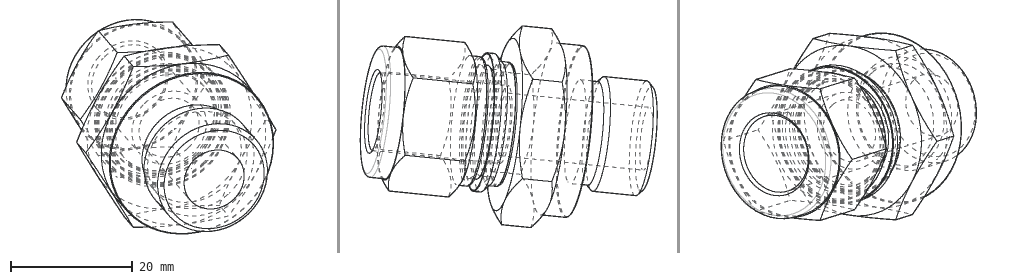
import cadquery as cq
import math

total_length = 46.0

nose_diameter = 21.8
nose_fillet = 0.6
nut_hex_start = 3.0
nut_hex_end = 15.25
nut_across_flats = 22.22
nut_collar_diameter = 21.5
nut_collar_chamfer_length = 0.3
nut_collar_chamfer_depth = 0.15
nut_end = 17.1

neck_diameter = 18.9
neck_end = 18.3
neck_groove_diameter = 17.7
ring_start = 18.0
ring_diameter = 23.0
ring_rim_end = 19.2
ring_lip_diameter = 22.6
ring_small_diameter = 20.6
ring_end = 21.8
shoulder_diameter = 20.2

stud_length = 12.0
body_end = total_length - stud_length
body_hex_start = 22.1
body_hex_end = 29.6
body_across_flats = 28.57
body_collar_diameter = 28.5
body_collar_chamfer = 0.15

relief_diameter = 17.2
relief_length = 3.0
thread_diameter = 19.05
thread_end_chamfer = 0.85

tube_bore_diameter = 12.9
tube_bore_depth = 22.0
tube_bore_chamfer = 0.5
through_bore_diameter = 10.41

hex_chamfer_angle = math.radians(30)


def cylinder(start, end, diameter):
    """Round bar along X from start to end."""
    return cq.Workplane("YZ", origin=(start, 0, 0)).circle(diameter / 2).extrude(end - start)


def revolve_profile(points):
    """Solid of revolution about X from (x, radius) points that begin and end on the axis."""
    return cq.Workplane("XY").polyline(points).close().revolve(360, (0, 0, 0), (1, 0, 0))


def chamfered_hexagon(start, end, across_flats, start_diameter, end_diameter):
    """Hexagonal prism with corners along Y, its corners cut back by a cone at each end."""
    corner_radius = across_flats / math.sqrt(3)
    prism = (
        cq.Workplane("YZ", origin=(start, 0, 0))
        .polygon(6, 2 * corner_radius)
        .extrude(end - start)
    )
    start_radius = start_diameter / 2
    end_radius = end_diameter / 2
    start_cone_length = (corner_radius - start_radius) * math.tan(hex_chamfer_angle)
    end_cone_length = (corner_radius - end_radius) * math.tan(hex_chamfer_angle)
    envelope = revolve_profile([
        (start, 0),
        (start, start_radius),
        (start + start_cone_length, corner_radius),
        (end - end_cone_length, corner_radius),
        (end, end_radius),
        (end, 0),
    ])
    return prism.intersect(envelope)


def union_nut():
    nose = cylinder(0, nut_hex_start, nose_diameter).faces("<X").edges().fillet(nose_fillet)
    hexagon = chamfered_hexagon(
        nut_hex_start, nut_hex_end, nut_across_flats, nut_across_flats, nut_collar_diameter
    )
    collar_radius = nut_collar_diameter / 2
    collar = revolve_profile([
        (nut_hex_end, 0),
        (nut_hex_end, collar_radius),
        (nut_end - nut_collar_chamfer_length, collar_radius),
        (nut_end, collar_radius - nut_collar_chamfer_depth),
        (nut_end, 0),
    ])
    return nose.union(hexagon).union(collar)


def neck_and_ring():
    neck_radius = neck_diameter / 2
    groove_radius = neck_groove_diameter / 2
    ring_radius = ring_diameter / 2
    ring_lip_radius = ring_lip_diameter / 2
    ring_small_radius = ring_small_diameter / 2
    groove_start = neck_end + neck_radius - groove_radius
    recess_bottom = ring_start + ring_lip_radius - groove_radius
    ring_cone_end = ring_rim_end + ring_radius - ring_small_radius
    shoulder_radius = shoulder_diameter / 2
    return revolve_profile([
        (nut_end, 0),
        (nut_end, neck_radius),
        (neck_end, neck_radius),
        (groove_start, groove_radius),
        (recess_bottom, groove_radius),
        (ring_start, ring_lip_radius),
        (ring_start, ring_radius),
        (ring_rim_end, ring_radius),
        (ring_cone_end, ring_small_radius),
        (ring_end, ring_small_radius),
        (ring_end, shoulder_radius),
        (body_hex_start, shoulder_radius),
        (body_hex_start, 0),
    ])


def body():
    hexagon = chamfered_hexagon(
        body_hex_start, body_hex_end, body_across_flats, body_across_flats, body_collar_diameter
    )
    collar = cylinder(body_hex_end, body_end, body_collar_diameter)
    collar = collar.faces(">X").edges().chamfer(body_collar_chamfer)
    return hexagon.union(collar)


def threaded_stud():
    relief_radius = relief_diameter / 2
    thread_radius = thread_diameter / 2
    relief_end = body_end + relief_length
    thread_start = relief_end + thread_radius - relief_radius
    return revolve_profile([
        (body_end, 0),
        (body_end, relief_radius),
        (relief_end, relief_radius),
        (thread_start, thread_radius),
        (total_length - thread_end_chamfer, thread_radius),
        (total_length, thread_radius - thread_end_chamfer),
        (total_length, 0),
    ])


def bore():
    tube_radius = tube_bore_diameter / 2
    through_radius = through_bore_diameter / 2
    return revolve_profile([
        (0, 0),
        (0, tube_radius + tube_bore_chamfer),
        (tube_bore_chamfer, tube_radius),
        (tube_bore_depth, tube_radius),
        (tube_bore_depth, through_radius),
        (total_length, through_radius),
        (total_length, 0),
    ])


outside = union_nut().union(neck_and_ring()).union(body()).union(threaded_stud())
result = outside.cut(bore())